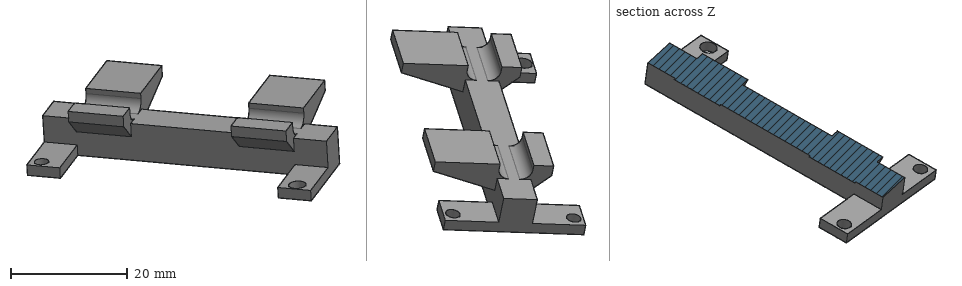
import cadquery as cq

tilt_angle = 10.0

length = 51.6
beam_width = 6.0
beam_height = 7.0

foot_width = 6.0
foot_length = 25.0
foot_thickness = 2.0
beam_front = (foot_length - beam_width) / 2
beam_rear = beam_front + beam_width

left_hole_diameter = 2.5
left_hole_side_inset = 2.1
right_hole_diameter = 3.0
right_hole_side_inset = 3.0
hole_end_inset = 1.75

clip_width = 10.0
clip_top = 10.0
clip_tip_thickness = 2.0
clip_root_height = 4.5
front_jaw_reach = 3.54
rear_jaw_reach = 11.54
channel_corner_radius = 2.0


def make_box(x_start, y_start, x_size, y_size, z_size):
    """Box standing on the plane of the underside."""
    return cq.Workplane("XY").box(x_size, y_size, z_size, centered=False).translate((x_start, y_start, 0))


def make_clip(x_start):
    """Two tapered jaws; the channel between them has its floor on the beam's top."""
    tip_bottom = clip_top - clip_tip_thickness
    front_tip = beam_front - front_jaw_reach
    rear_tip = beam_rear + rear_jaw_reach
    jaws = (
        cq.Workplane("YZ")
        .moveTo(beam_front, clip_root_height)
        .lineTo(front_tip, tip_bottom)
        .lineTo(front_tip, clip_top)
        .lineTo(rear_tip, clip_top)
        .lineTo(rear_tip, tip_bottom)
        .lineTo(beam_rear, clip_root_height)
        .close()
        .extrude(clip_width)
    )
    channel_depth = clip_top - beam_height
    channel = (
        cq.Workplane("XY")
        .box(clip_width, beam_width, 2 * channel_depth, centered=False)
        .edges("|X and <Z")
        .fillet(channel_corner_radius)
        .translate((0, beam_front, beam_height))
    )
    return jaws.cut(channel).translate((x_start, 0, 0))


def make_hole(x, y, diameter):
    """Cutter for a round hole through a foot."""
    return cq.Workplane("XY").center(x, y).circle(diameter / 2).extrude(foot_thickness)


right_foot_start = length - foot_width
body = make_box(0, beam_front, length, beam_width, beam_height)
body = body.union(make_box(0, 0, foot_width, foot_length, foot_thickness))
body = body.union(make_box(right_foot_start, 0, foot_width, beam_rear, foot_thickness))

for clip_start in (foot_width, right_foot_start - clip_width):
    body = body.union(make_clip(clip_start))

for hole_y in (hole_end_inset, foot_length - hole_end_inset):
    body = body.cut(make_hole(left_hole_side_inset, hole_y, left_hole_diameter))
body = body.cut(make_hole(length - right_hole_side_inset, hole_end_inset, right_hole_diameter))

result = body.rotate((0, 0, 0), (1, 0, 0), tilt_angle)